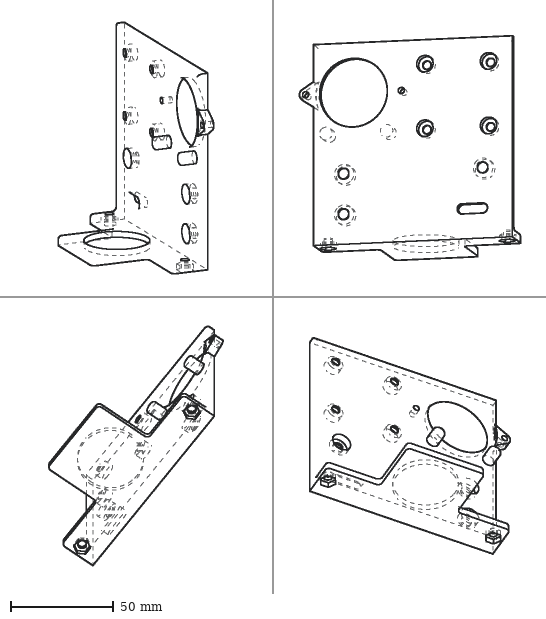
import cadquery as cq
import math

overall_width = 107.0
plate_width = 99.9
plate_height = 99.7
thickness = 5.0
edge_radius = 2.0

wing_depth = 18.9
stem_depth = 49.0
stem_width = 42.0
recess_diameter = 32.2
recess_depth = 3.0
recess_setback = 26.3
foot_hole_diameter = 4.2
foot_hole_inset = 4.9
foot_hole_setback = 10.2
nut_corner_diameter = 8.2
nut_pocket_depth = 3.0

opening_x = 79.8
opening_z = 75.0
opening_diameter = 34.0
lug_pitch = 24.1
lug_tip_radius = overall_width - opening_x - lug_pitch
lug_root_radius = 16.0
lug_inner_radius = 20.0
lug_hole_diameter = 3.0

grid_x = 11.9
grid_z = 55.7
grid_pitch = 32.0
grid_hole_diameter = 4.2
head_pocket_diameter = 8.2
head_pocket_depth = 4.0

mount_left = 15.0
mount_right = 84.9
mount_low = 15.0
mount_high = 35.1
mount_diameter = 5.4
counterbore_diameter = 9.7
counterbore_depth = 4.0
slot_width = 5.0
slot_travel = 10.2

pin_z = 56.4
pin_left = 64.5
pin_pitch = 30.5
pin_diameter = 6.3
pin_length = 7.9
pin_tip_radius = 1.0

plate_mid = plate_width / 2
reach = 2 * thickness


def front_disc(x, z, diameter, start, length):
    """Cylinder along -Y whose rear face is at Y = -start."""
    plane = cq.Workplane("XZ", origin=(x, -start, z))
    return plane.circle(diameter / 2).extrude(length)


def through_hole(x, z, diameter):
    return front_disc(x, z, diameter, -thickness / 2, reach)


def rounded_bracket():
    """L-shaped body with rounded inner corner and rounded exposed edges."""
    half_stem = stem_width / 2
    foot = (
        cq.Workplane("XY")
        .polyline([
            (0, 0),
            (plate_width, 0),
            (plate_width, -wing_depth),
            (plate_mid + half_stem, -wing_depth),
            (plate_mid + half_stem, -stem_depth),
            (plate_mid - half_stem, -stem_depth),
            (plate_mid - half_stem, -wing_depth),
            (0, -wing_depth),
        ])
        .close()
        .extrude(thickness)
        .edges("|Z and (not >Y)")
        .fillet(edge_radius)
    )
    plate = cq.Workplane("XY").box(plate_width, thickness, plate_height, centered=False)
    body = foot.union(plate.translate((0, -thickness, 0)))
    inner_corner = cq.selectors.NearestToPointSelector((plate_mid, -thickness, thickness))
    body = body.edges(inner_corner).fillet(edge_radius)
    side_rim = cq.selectors.NearestToPointSelector((0, -thickness, plate_height / 2))
    top_rim = cq.selectors.NearestToPointSelector((plate_mid, -thickness, plate_height))
    return body.edges(cq.selectors.SumSelector(side_rim, top_rim)).fillet(edge_radius)


def lug():
    """Tapered ear tangent to its round tip, hollowed concentric with the opening."""
    tilt = math.asin((lug_root_radius - lug_tip_radius) / lug_pitch)
    root = (lug_root_radius * math.sin(tilt), lug_root_radius * math.cos(tilt))
    tip = (lug_pitch + lug_tip_radius * math.sin(tilt), lug_tip_radius * math.cos(tilt))
    ear = (
        cq.Workplane("XZ", origin=(opening_x, 0, opening_z))
        .moveTo(root[0], -root[1])
        .lineTo(tip[0], -tip[1])
        .threePointArc((lug_pitch + lug_tip_radius, 0), tip)
        .lineTo(*root)
        .close()
        .extrude(thickness)
    )
    return ear.cut(through_hole(opening_x, opening_z, 2 * lug_inner_radius))


def opening_cutter():
    """Round bore that flares through a quarter-round lip at the front face."""
    bore_radius = opening_diameter / 2
    mouth_radius = bore_radius + edge_radius
    diagonal = edge_radius * math.sqrt(0.5)
    return (
        cq.Workplane("XY", origin=(opening_x, 0, opening_z))
        .moveTo(0, 0)
        .lineTo(bore_radius, 0)
        .lineTo(bore_radius, edge_radius - thickness)
        .threePointArc(
            (mouth_radius - diagonal, edge_radius - thickness - diagonal),
            (mouth_radius, -thickness),
        )
        .lineTo(0, -thickness)
        .close()
        .revolve(360, (0, 0, 0), (0, 1, 0))
    )


def slot_cutter():
    plane = cq.Workplane("XZ", origin=(mount_left + slot_travel / 2, 0, mount_low))
    return plane.slot2D(slot_travel + slot_width, slot_width).extrude(thickness)


def pin(x):
    post = front_disc(x, pin_z, pin_diameter, thickness, pin_length)
    return post.faces("<Y").edges().fillet(pin_tip_radius)


result = rounded_bracket().union(lug()).cut(opening_cutter())

for side in (-1, 1):
    result = result.cut(through_hole(opening_x + side * lug_pitch, opening_z, lug_hole_diameter))

for column in range(2):
    for row in range(2):
        hole_x = grid_x + column * grid_pitch
        hole_z = grid_z + row * grid_pitch
        result = result.cut(through_hole(hole_x, hole_z, grid_hole_diameter))
        result = result.cut(front_disc(hole_x, hole_z, head_pocket_diameter, 0, head_pocket_depth))

counterbore_floor = thickness - counterbore_depth
for x, z in [(mount_left, mount_high), (mount_right, mount_high), (mount_right, mount_low)]:
    result = result.cut(through_hole(x, z, mount_diameter))
    result = result.cut(front_disc(x, z, counterbore_diameter, counterbore_floor, counterbore_depth))

result = result.cut(slot_cutter())
slot_rim_seed = cq.selectors.NearestToPointSelector(
    (mount_left + slot_travel / 2, -thickness, mount_low + slot_width / 2)
)
result = result.edges(slot_rim_seed).fillet(edge_radius)

for x in (foot_hole_inset, plate_width - foot_hole_inset):
    foot_point = cq.Workplane("XY").center(x, -foot_hole_setback)
    result = result.cut(foot_point.circle(foot_hole_diameter / 2).extrude(thickness))
    result = result.cut(foot_point.polygon(6, nut_corner_diameter).extrude(nut_pocket_depth))

recess = cq.Workplane("XY", origin=(plate_mid, -recess_setback, thickness - recess_depth))
result = result.cut(recess.circle(recess_diameter / 2).extrude(recess_depth))

for x in (pin_left, pin_left + pin_pitch):
    result = result.union(pin(x))